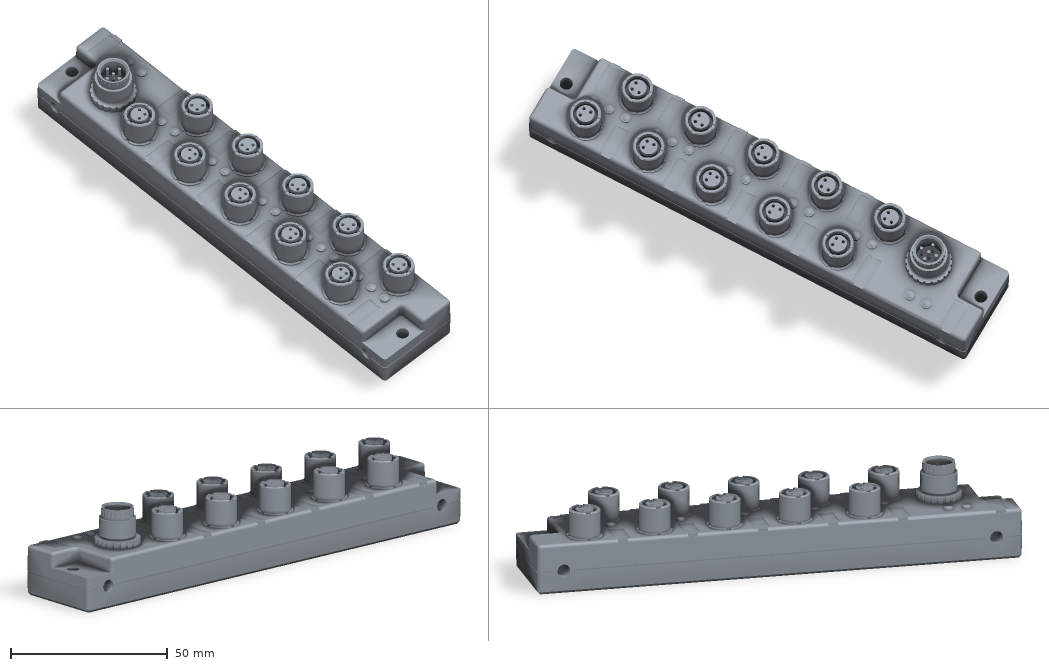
import cadquery as cq
import math

length = 159.4
width = 30.0
seam_height = 7.7
ear_height = 11.6
top_height = 16.5
draft_angle = 1
corner_radius = 1.3
edge_radius = 1.1
bottom_chamfer = 1.0
seam_groove_height = 0.5
seam_groove_depth = 0.2

ear_length = 10.0
ear_wall_y = 2.0
mount_hole_diameter = 4.1
ear_hole_x = 75.5
connector_row_y = -3.0
cross_hole_x = 71.1

port_count = 5
port_pitch = 23.0
port_row_y = 7.89
front_port_x = -39.7
rear_port_x = -29.5

port_top = 25.7
port_diameter = 10.0
port_rim_chamfer = 0.3
port_flange_diameter = 11.5
port_flange_height = 0.5
port_bore_diameter = 8.1
port_insert_diameter = 5.7
port_bore_depth = 4.0
port_slot_width = 1.5
port_slot_depth = 0.5
contact_diameter = 1.1
contact_circle_radius = 1.8
contact_depth = 3.2

power_x = -56.6
power_top = 28.9
power_collar_diameter = 14.8
power_collar_top = 18.8
power_neck_diameter = 10.4
power_neck_top = 19.6
power_body_diameter = 12.0
power_body_top = 25.3
power_bore_diameter = 8.3
power_bore_depth = 7.2
power_mouth_chamfer = 0.6
collar_notch_count = 20
collar_notch_diameter = 0.85
rib_count = 24
rib_diameter = 0.6
rib_projection = 0.2
rib_bottom = 26.3
rib_top = 28.0
pin_diameter = 1.05
pin_circle_radius = 2.7
pin_length = 5.5

lamp_diameter = 3.0
lamp_rim_height = 0.6
lamp_dome_height = 0.4
lamp_dome_diameter = 2.4
lamp_spacing = 6.0
lamp_row_x = -37.6
power_lamp_y = 9.5
triple_lamp_x = 29.2
triple_group_count = 2

label_width = 5.1
label_depth = 0.2
label_inner_y = 3.5
label_outer_y = width / 2 - 1.5
front_label_x = -28.5
rear_label_x = -40.5
end_label_x = -72.5
tab_width = 3.2
tab_height = 1.0
tab_outer_y = width / 2 - 0.2


def cylinder(x, y, diameter, bottom, top):
    """Upright cylinder between two heights."""
    return cq.Workplane("XY", origin=(x, y, bottom)).circle(diameter / 2).extrude(top - bottom)


def box(x, y, size_x, size_y, bottom, top):
    """Upright block centred on (x, y) between two heights."""
    return cq.Workplane("XY", origin=(x, y, bottom)).rect(size_x, size_y).extrude(top - bottom)


def ring_points(count, radius, start_angle=0):
    """Evenly spaced points on a circle."""
    angles = [math.radians(start_angle + 360 * i / count) for i in range(count)]
    return [(radius * math.cos(a), radius * math.sin(a)) for a in angles]


def drafted(outline, rise):
    """Rounded outline extruded upwards from Z = 0, narrowing as it rises."""
    sketch = cq.Sketch().polygon(outline + outline[:1]).vertices().fillet(corner_radius)
    return cq.Workplane("XY").placeSketch(sketch).extrude(rise, taper=draft_angle)


def make_housing():
    x = length / 2
    y = width / 2
    wall_x = x - ear_length
    full_outline = [(-x, -y), (x, -y), (x, y), (-x, y)]
    raised_outline = [
        (-wall_x, -y), (wall_x, -y), (wall_x, ear_wall_y), (x, ear_wall_y),
        (x, y), (-x, y), (-x, ear_wall_y), (-wall_x, ear_wall_y),
    ]
    lower = drafted(full_outline, seam_height).faces(">Z").chamfer(bottom_chamfer).mirror("XY")
    ears = drafted(full_outline, ear_height - seam_height)
    raised = drafted(raised_outline, top_height - seam_height).faces(">Z").edges().fillet(edge_radius)
    return lower.union(ears).union(raised).translate((0, 0, seam_height))


def cut_seam(body):
    """Narrow groove around the housing, centred on the seam."""
    groove_bottom = seam_height - seam_groove_height / 2
    groove_top = groove_bottom + seam_groove_height
    inset = 2 * seam_groove_depth
    core = box(0, 0, length - inset, width - inset, groove_bottom, groove_top)
    core = core.edges("|Z").fillet(corner_radius)
    return body.cut(box(0, 0, length, width, groove_bottom, groove_top).cut(core))


def cut_mounting_holes(body):
    for side in (-1, 1):
        body = body.cut(cylinder(side * ear_hole_x, connector_row_y, mount_hole_diameter, 0, top_height))
        cross_hole = (
            cq.Workplane("XZ", origin=(side * cross_hole_x, width / 2, seam_height))
            .circle(mount_hole_diameter / 2)
            .extrude(width)
        )
        body = body.cut(cross_hole)
    return body


def add_label(body, x, side):
    """Shallow label recess with a small tab standing on the rounded edge beside it."""
    label_length = label_outer_y - label_inner_y
    label_y = side * (label_outer_y + label_inner_y) / 2
    recess = box(x, label_y, label_width, label_length, top_height - label_depth, top_height)
    tab_length = tab_outer_y - label_outer_y
    tab_y = side * (tab_outer_y + label_outer_y) / 2
    tab = box(x, tab_y, tab_width, tab_length, top_height - tab_height, top_height)
    return body.cut(recess).union(tab)


def make_lamp():
    """Lamp with a straight rim and a domed lens, centred on the origin."""
    rim_top = top_height + lamp_rim_height
    rim = cylinder(0, 0, lamp_diameter, top_height, rim_top)
    dome_edge = lamp_dome_diameter / 2
    sphere_radius = (dome_edge**2 + lamp_dome_height**2) / (2 * lamp_dome_height)
    sphere = cq.Workplane("XY").sphere(sphere_radius)
    sphere = sphere.translate((0, 0, rim_top + lamp_dome_height - sphere_radius))
    lens = cylinder(0, 0, lamp_dome_diameter, top_height, rim_top + lamp_dome_height).intersect(sphere)
    return rim.union(lens)


def make_port():
    """Three-contact signal port centred on the origin."""
    port = cylinder(0, 0, port_flange_diameter, top_height, top_height + port_flange_height)
    sleeve = cylinder(0, 0, port_diameter, top_height, port_top)
    port = port.union(sleeve.faces(">Z").chamfer(port_rim_chamfer))
    bore_bottom = port_top - port_bore_depth
    port = port.cut(cylinder(0, 0, port_bore_diameter, bore_bottom, port_top))
    slots = box(0, 0, port_flange_diameter, port_slot_width, port_top - port_slot_depth, port_top)
    slots = slots.union(slots.rotate((0, 0, 0), (0, 0, 1), 90))
    flange_top = top_height + port_flange_height
    notches = box(0, 0, port_flange_diameter, port_slot_width, top_height, flange_top)
    notches = notches.union(notches.rotate((0, 0, 0), (0, 0, 1), 90))
    notches = notches.cut(cylinder(0, 0, port_diameter, top_height, flange_top))
    port = port.cut(slots).cut(notches)
    port = port.union(cylinder(0, 0, port_insert_diameter, bore_bottom, port_top))
    contacts = (
        cq.Workplane("XY", origin=(0, 0, port_top))
        .pushPoints(ring_points(4, contact_circle_radius, 225)[:3])
        .circle(contact_diameter / 2)
        .extrude(-contact_depth)
    )
    return port.cut(contacts)


def make_power_connector():
    """Stepped power connector with pins in an open bore, centred on the origin."""
    collar = cylinder(0, 0, power_collar_diameter, top_height, power_collar_top)
    collar_notches = (
        cq.Workplane("XY", origin=(0, 0, top_height))
        .pushPoints(ring_points(collar_notch_count, power_collar_diameter / 2))
        .circle(collar_notch_diameter / 2)
        .extrude(power_collar_top - top_height)
    )
    collar = collar.cut(collar_notches)
    core = cylinder(0, 0, power_neck_diameter, top_height, power_top)
    body = cylinder(0, 0, power_body_diameter, power_neck_top, power_body_top)
    rib_circle_radius = power_neck_diameter / 2 + rib_projection - rib_diameter / 2
    ribs = (
        cq.Workplane("XY", origin=(0, 0, rib_bottom))
        .pushPoints(ring_points(rib_count, rib_circle_radius))
        .circle(rib_diameter / 2)
        .extrude(rib_top - rib_bottom)
    )
    bore_bottom = power_top - power_bore_depth
    bore = cylinder(0, 0, power_bore_diameter, bore_bottom, power_top)
    pins = (
        cq.Workplane("XY", origin=(0, 0, bore_bottom))
        .pushPoints(ring_points(4, pin_circle_radius) + [(0, 0)])
        .circle(pin_diameter / 2)
        .extrude(pin_length)
    )
    shell = collar.union(core).union(body).union(ribs).cut(bore)
    mouth = cq.Workplane("XY").add(
        cq.Solid.makeCone(
            power_bore_diameter / 2, power_bore_diameter / 2 + power_mouth_chamfer, power_mouth_chamfer,
            pnt=cq.Vector(0, 0, power_top - power_mouth_chamfer),
        )
    )
    return shell.cut(mouth).union(pins)


def lamp_positions():
    spots = [(power_x, power_lamp_y), (power_x - lamp_spacing, power_lamp_y)]
    for i in range(port_count - triple_group_count):
        x = lamp_row_x + i * port_pitch
        spots += [(x, 0), (x + lamp_spacing, 0)]
    for i in range(triple_group_count):
        x = triple_lamp_x + i * port_pitch
        spots += [(x + k * lamp_spacing, 0) for k in range(3)]
    return spots


result = cut_mounting_holes(cut_seam(make_housing()))

result = add_label(result, end_label_x, 1)
for i in range(port_count):
    shift = i * port_pitch
    result = add_label(result, rear_label_x + shift, 1)
    result = add_label(result, front_label_x + shift, -1)

port = make_port()
front_port = port.rotate((0, 0, 0), (0, 0, 1), 90)
for i in range(port_count):
    shift = i * port_pitch
    result = result.union(port.translate((rear_port_x + shift, port_row_y, 0)))
    result = result.union(front_port.translate((front_port_x + shift, -port_row_y, 0)))

lamp = make_lamp()
for x, y in lamp_positions():
    result = result.union(lamp.translate((x, y, 0)))

result = result.union(make_power_connector().translate((power_x, connector_row_y, 0)))